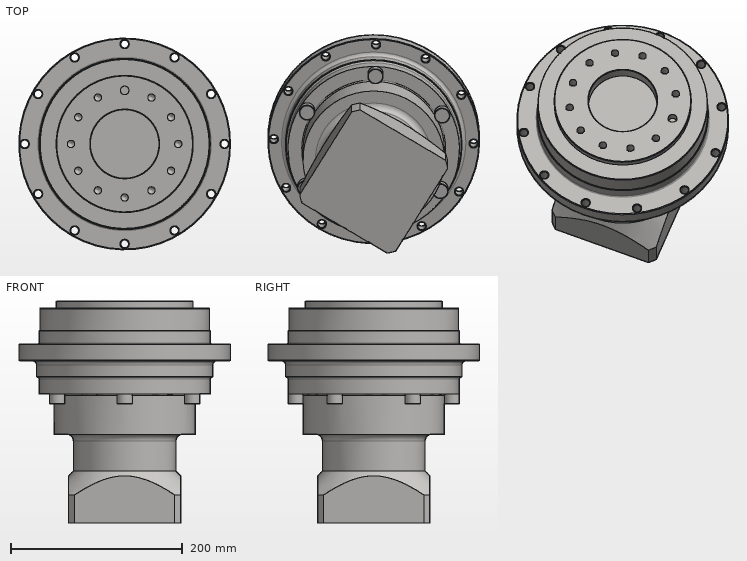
import cadquery as cq
import math

HEIGHT = 259.0
OUTPUT_DISC_BOTTOM = HEIGHT - 8.0
UPPER_HOUSING_BOTTOM = HEIGHT - 34.5
FLANGE_TOP = HEIGHT - 50.0
FLANGE_BOTTOM = FLANGE_TOP - 20.0
PILOT_BOTTOM = FLANGE_BOTTOM - 18.0
LOWER_HOUSING_BOTTOM = HEIGHT - 108.5
GEAR_STAGE_BOTTOM = HEIGHT - 155.5
NECK_BOTTOM = 60.5

OUTPUT_DISC_R = 80.0
UPPER_HOUSING_R = 99.0
HOUSING_R = 100.0
FLANGE_R = 123.5
PILOT_R = 103.0
GEAR_STAGE_R = 82.5
NECK_R = 60.0

DISC_CHAMFER = 0.8
HOUSING_CHAMFER_HEIGHT = 1.5
STEP_CHAMFER = 0.5
FLANGE_CHAMFER = 1.0
FLANGE_FILLET = 1.0
PILOT_FILLET = 4.5
PILOT_CHAMFER = 1.0
RELIEF_FILLET = 2.0
GEAR_STAGE_FILLET = 1.5
NECK_FILLET = 8.0

ADAPTER_SIDE = 131.0
ADAPTER_CORNER_R = 87.7

BORE_R = 40.0
BORE_DEPTH = 16.0
BORE_CHAMFER = 0.7

HOLE_POSITIONS = 12
PATTERN_STEP = 360.0 / HOLE_POSITIONS
OUTPUT_CIRCLE_R = 62.5
THREAD_HOLE_R = 4.25
THREAD_HOLE_DEPTH = 16.0
DRILL_POINT_ANGLE = 118.0
DOWEL_ANGLE = 90.0
DOWEL_R = 5.0
DOWEL_DEPTH = 10.0

FLANGE_CIRCLE_R = 116.5
FLANGE_HOLE_R = 4.5
FLANGE_HOLE_CHAMFER = 0.9

SCREW_COUNT = 6
SCREW_CIRCLE_R = 91.0
SCREW_HEAD_R = 9.0
SCREW_HEAD_HEIGHT = 11.5
SCREW_HEAD_CHAMFER = 0.6
SCREW_START_ANGLE = 30.0


def on_circle(radius, angle):
    """X and Y of a point on a circle about the part axis."""
    turn = math.radians(angle)
    return radius * math.cos(turn), radius * math.sin(turn)


def concave_arc(profile, corner_r, corner_z, radius):
    """Quarter arc between a horizontal face above a step and the smaller vertical wall below it."""
    reach = radius * (1 - math.sqrt(0.5))
    return profile.threePointArc(
        (corner_r + reach, corner_z - reach),
        (corner_r, corner_z - radius),
    )


def turned_body():
    """Stepped body of revolution from the output disc down to the neck."""
    relief_top = PILOT_BOTTOM - PILOT_CHAMFER
    fillet_reach = FLANGE_FILLET * (1 - math.sqrt(0.5))
    profile = (
        cq.Workplane("XZ")
        .moveTo(0, HEIGHT)
        .lineTo(OUTPUT_DISC_R - DISC_CHAMFER, HEIGHT)
        .lineTo(OUTPUT_DISC_R, HEIGHT - DISC_CHAMFER)
        .lineTo(OUTPUT_DISC_R, OUTPUT_DISC_BOTTOM)
        .lineTo(UPPER_HOUSING_R - STEP_CHAMFER, OUTPUT_DISC_BOTTOM)
        .lineTo(UPPER_HOUSING_R, OUTPUT_DISC_BOTTOM - HOUSING_CHAMFER_HEIGHT)
        .lineTo(UPPER_HOUSING_R, UPPER_HOUSING_BOTTOM)
        .lineTo(HOUSING_R - STEP_CHAMFER, UPPER_HOUSING_BOTTOM)
        .lineTo(HOUSING_R, UPPER_HOUSING_BOTTOM - STEP_CHAMFER)
        .lineTo(HOUSING_R, FLANGE_TOP + FLANGE_FILLET)
        .threePointArc(
            (HOUSING_R + fillet_reach, FLANGE_TOP + fillet_reach),
            (HOUSING_R + FLANGE_FILLET, FLANGE_TOP),
        )
        .lineTo(FLANGE_R - FLANGE_CHAMFER, FLANGE_TOP)
        .lineTo(FLANGE_R, FLANGE_TOP - FLANGE_CHAMFER)
        .lineTo(FLANGE_R, FLANGE_BOTTOM + FLANGE_CHAMFER)
        .lineTo(FLANGE_R - FLANGE_CHAMFER, FLANGE_BOTTOM)
        .lineTo(PILOT_R + PILOT_FILLET, FLANGE_BOTTOM)
    )
    profile = concave_arc(profile, PILOT_R, FLANGE_BOTTOM, PILOT_FILLET)
    profile = (
        profile.lineTo(PILOT_R, PILOT_BOTTOM)
        .lineTo(HOUSING_R + RELIEF_FILLET, relief_top)
    )
    profile = concave_arc(profile, HOUSING_R, relief_top, RELIEF_FILLET)
    profile = (
        profile.lineTo(HOUSING_R, LOWER_HOUSING_BOTTOM)
        .lineTo(GEAR_STAGE_R + GEAR_STAGE_FILLET, LOWER_HOUSING_BOTTOM)
    )
    profile = concave_arc(profile, GEAR_STAGE_R, LOWER_HOUSING_BOTTOM, GEAR_STAGE_FILLET)
    profile = (
        profile.lineTo(GEAR_STAGE_R, GEAR_STAGE_BOTTOM)
        .lineTo(NECK_R + NECK_FILLET, GEAR_STAGE_BOTTOM)
    )
    profile = concave_arc(profile, NECK_R, GEAR_STAGE_BOTTOM, NECK_FILLET)
    profile = profile.lineTo(NECK_R, NECK_BOTTOM).lineTo(0, NECK_BOTTOM).close()
    return profile.revolve(360, (0, 0, 0), (0, 1, 0))


def motor_adapter():
    """Square block with round corners and a 45 degree conical top."""
    cone_bottom = NECK_BOTTOM - (ADAPTER_CORNER_R - NECK_R)
    envelope = (
        cq.Workplane("XZ")
        .moveTo(0, 0)
        .lineTo(ADAPTER_CORNER_R, 0)
        .lineTo(ADAPTER_CORNER_R, cone_bottom)
        .lineTo(NECK_R, NECK_BOTTOM)
        .lineTo(0, NECK_BOTTOM)
        .close()
        .revolve(360, (0, 0, 0), (0, 1, 0))
    )
    block = cq.Workplane("XY").rect(ADAPTER_SIDE, ADAPTER_SIDE).extrude(NECK_BOTTOM)
    return block.intersect(envelope)


def screw_heads():
    """Ring of cylindrical screw heads hanging below the housing."""
    points = [
        on_circle(SCREW_CIRCLE_R, SCREW_START_ANGLE + index * 360.0 / SCREW_COUNT)
        for index in range(SCREW_COUNT)
    ]
    return (
        cq.Workplane("XY", origin=(0, 0, LOWER_HOUSING_BOTTOM))
        .pushPoints(points)
        .circle(SCREW_HEAD_R)
        .extrude(-SCREW_HEAD_HEIGHT)
        .faces("<Z")
        .chamfer(SCREW_HEAD_CHAMFER)
    )


def bore():
    """Cutter for the blind central bore with its chamfered rim."""
    floor = HEIGHT - BORE_DEPTH
    return (
        cq.Workplane("XZ")
        .moveTo(0, floor)
        .lineTo(BORE_R, floor)
        .lineTo(BORE_R, HEIGHT - BORE_CHAMFER)
        .lineTo(BORE_R + BORE_CHAMFER, HEIGHT)
        .lineTo(0, HEIGHT)
        .close()
        .revolve(360, (0, 0, 0), (0, 1, 0))
    )


def thread_hole():
    """Cutter for one drilled hole with a conical end, on the part axis."""
    point_depth = THREAD_HOLE_R / math.tan(math.radians(DRILL_POINT_ANGLE / 2))
    shoulder = HEIGHT - THREAD_HOLE_DEPTH
    return (
        cq.Workplane("XZ")
        .moveTo(0, HEIGHT)
        .lineTo(THREAD_HOLE_R, HEIGHT)
        .lineTo(THREAD_HOLE_R, shoulder)
        .lineTo(0, shoulder - point_depth)
        .close()
        .revolve(360, (0, 0, 0), (0, 1, 0))
    )


def dowel_hole():
    """Cutter for the flat-bottomed dowel hole, on the part axis."""
    return cq.Workplane("XY", origin=(0, 0, HEIGHT)).circle(DOWEL_R).extrude(-DOWEL_DEPTH)


def flange_hole():
    """Cutter for one flange hole chamfered at both ends, on the part axis."""
    rim_r = FLANGE_HOLE_R + FLANGE_HOLE_CHAMFER
    return (
        cq.Workplane("XZ")
        .moveTo(0, FLANGE_TOP)
        .lineTo(rim_r, FLANGE_TOP)
        .lineTo(FLANGE_HOLE_R, FLANGE_TOP - FLANGE_HOLE_CHAMFER)
        .lineTo(FLANGE_HOLE_R, FLANGE_BOTTOM + FLANGE_HOLE_CHAMFER)
        .lineTo(rim_r, FLANGE_BOTTOM)
        .lineTo(0, FLANGE_BOTTOM)
        .close()
        .revolve(360, (0, 0, 0), (0, 1, 0))
    )


def at_polar(shape, radius, angle):
    """Move a shape from the part axis to a place on a circle."""
    x, y = on_circle(radius, angle)
    return shape.translate((x, y, 0))


result = turned_body().union(motor_adapter()).union(screw_heads()).cut(bore())
for position in range(HOLE_POSITIONS):
    hole_angle = position * PATTERN_STEP
    output_hole = dowel_hole() if hole_angle == DOWEL_ANGLE else thread_hole()
    result = result.cut(at_polar(output_hole, OUTPUT_CIRCLE_R, hole_angle))
    result = result.cut(at_polar(flange_hole(), FLANGE_CIRCLE_R, hole_angle))